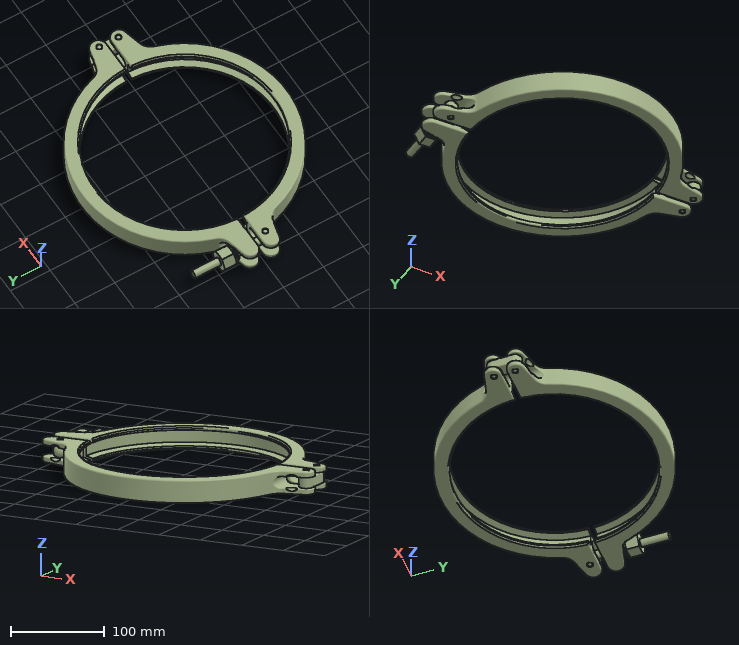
import cadquery as cq
import math

RING_RADIUS = 129.0
BORE_RADIUS = 112.0
THICKNESS = 25.5
HALF_GAP = 3.3
EDGE_RADIUS = 1.8

GROOVE_RADIUS = 120.3
GROOVE_MOUTH = 17.5
GROOVE_FLOOR = 13.0

EAR_RADIUS = 9.8
EAR_X = 163 - EAR_RADIUS
EAR_Y = HALF_GAP + EAR_RADIUS
EAR_SLOPE = math.radians(14)
NECK_RADIUS = 15.5

SLOT_HEIGHT = 12.7
SLOT_EDGE_RADIUS = 1.0
SLOT_END_X = 125.0

PIN_RADIUS = 3.3
PIN_DOME_HEIGHT = 1.3
HINGE_X = 153.0
HINGE_Y = 12.0
LINK_RADIUS = 7.8
LINK_EDGE_RADIUS = 1.5

BOLT_X = 142.8
BOLT_PIN_Y = 12.7
ROD_RADIUS = 5.0
ROD_END_Y = 78.0
BALL_RADIUS = 8.0
NUT_CORNER_RADIUS = 13.0
NUT_Y = 30.5
NUT_HEIGHT = 15.0
COLLAR_RADIUS = 11.0
COLLAR_HEIGHT = 2.5
NUT_TIP_RADIUS = 5.5
NUT_TIP_HEIGHT = 3.3
COLLAR_Y = NUT_Y - COLLAR_HEIGHT

SEAT_RADIUS = 9.0
SEAT_Y = 27.0
SEAT_LENGTH = 13.0


def cylinder_along_y(x, y_start, y_end, radius):
    axis_start = cq.Vector(x, y_start, 0)
    return cq.Workplane(cq.Solid.makeCylinder(radius, y_end - y_start, axis_start, cq.Vector(0, 1, 0)))


def cone_along_y(x, y_start, y_end, radius_start, radius_end):
    axis_start = cq.Vector(x, y_start, 0)
    height = y_end - y_start
    return cq.Workplane(cq.Solid.makeCone(radius_start, radius_end, height, axis_start, cq.Vector(0, 1, 0)))


def half_plate():
    """Half ring with an ear at each end, on the +Y side of the split."""
    normal = cq.Vector(math.sin(EAR_SLOPE), math.cos(EAR_SLOPE))
    along = cq.Vector(math.cos(EAR_SLOPE), -math.sin(EAR_SLOPE))
    ear = cq.Vector(EAR_X, EAR_Y)
    ear_tangent = ear + normal * EAR_RADIUS

    neck_offset = ear.dot(normal) + EAR_RADIUS + NECK_RADIUS
    neck_reach = math.sqrt((RING_RADIUS + NECK_RADIUS) ** 2 - neck_offset**2)
    neck = normal * neck_offset + along * neck_reach
    neck_start = neck - normal * NECK_RADIUS
    neck_end = neck * (RING_RADIUS / neck.Length)
    neck_middle = neck + ((neck_start + neck_end) * 0.5 - neck).normalized() * NECK_RADIUS

    bore_x = math.sqrt(BORE_RADIUS**2 - HALF_GAP**2)

    def right(point):
        return (point.x, point.y)

    def left(point):
        return (-point.x, point.y)

    tip = cq.Vector(EAR_X + EAR_RADIUS, EAR_Y)
    outline = (
        cq.Workplane()
        .workplane(offset=-THICKNESS / 2)
        .moveTo(bore_x, HALF_GAP)
        .lineTo(EAR_X, HALF_GAP)
        .threePointArc(right(tip), right(ear_tangent))
        .lineTo(*right(neck_start))
        .threePointArc(right(neck_middle), right(neck_end))
        .threePointArc((0, RING_RADIUS), left(neck_end))
        .threePointArc(left(neck_middle), left(neck_start))
        .lineTo(*left(ear_tangent))
        .threePointArc(left(tip), (-EAR_X, HALF_GAP))
        .lineTo(-bore_x, HALF_GAP)
        .threePointArc((0, BORE_RADIUS), (bore_x, HALF_GAP))
        .close()
    )
    return outline.extrude(THICKNESS).faces("|Z").edges().fillet(EDGE_RADIUS)


def groove():
    inner = BORE_RADIUS - 3.3
    slope = (GROOVE_MOUTH - GROOVE_FLOOR) / 2 / (GROOVE_RADIUS - BORE_RADIUS)
    inner_half_height = GROOVE_MOUTH / 2 + slope * (BORE_RADIUS - inner)
    return (
        cq.Workplane("XZ")
        .polyline([
            (inner, -inner_half_height),
            (GROOVE_RADIUS, -GROOVE_FLOOR / 2),
            (GROOVE_RADIUS, GROOVE_FLOOR / 2),
            (inner, inner_half_height),
        ])
        .close()
        .revolve(360, (0, 0), (0, 1))
    )


def ear_slot(side):
    """Slot along Y with a rounded inner end, open at the ear tip."""
    end_x = SLOT_END_X + SLOT_HEIGHT / 2
    length = 2 * EAR_X
    opening = cq.Workplane().box(length, RING_RADIUS, SLOT_HEIGHT).translate((end_x + length / 2, 0, 0))
    rounded_end = cylinder_along_y(end_x, -RING_RADIUS / 2, RING_RADIUS / 2, SLOT_HEIGHT / 2)
    slot = opening.union(rounded_end)
    return slot if side > 0 else slot.mirror("YZ")


def round_slot_edges(plate, side):
    """Round the edges where a slot breaks through the ear's sides."""
    reach = SLOT_HEIGHT / 2 + 0.03
    x_range = sorted((side * (SLOT_END_X - 1.0), side * (EAR_X + 2 * EAR_RADIUS)))
    near_slot = cq.selectors.BoxSelector((x_range[0], 0, -reach), (x_range[1], RING_RADIUS, reach))
    return plate.edges(near_slot).edges("not |Y").fillet(SLOT_EDGE_RADIUS)


def nut_seat(x):
    """Ball-nosed recess that runs outward along the bolt axis."""
    nose = cq.Workplane().sphere(SEAT_RADIUS).translate((x, SEAT_Y, 0))
    return nose.union(cylinder_along_y(x, SEAT_Y, SEAT_Y + SEAT_LENGTH, SEAT_RADIUS))


def pin_hole(x, y):
    return cq.Workplane().cylinder(THICKNESS, PIN_RADIUS).translate((x, y, 0))


def pin(x, y):
    """Pin with domed ends whose tips are flush with the ear faces."""
    dome_radius = (PIN_RADIUS**2 + PIN_DOME_HEIGHT**2) / (2 * PIN_DOME_HEIGHT)
    shoulder = THICKNESS / 2 - PIN_DOME_HEIGHT
    body = cq.Workplane().cylinder(2 * shoulder, PIN_RADIUS)
    for side in (1, -1):
        ball_z = side * (THICKNESS / 2 - dome_radius)
        cap = cq.Workplane().cylinder(PIN_DOME_HEIGHT, PIN_RADIUS)
        cap = cap.translate((0, 0, side * (shoulder + PIN_DOME_HEIGHT / 2)))
        body = body.union(cap.intersect(cq.Workplane().sphere(dome_radius).translate((0, 0, ball_z))))
    return body.translate((x, y, 0))


def clamp_half(side):
    """Clamp half on the +Y (side = 1) or -Y (side = -1) side of the split."""
    plate = half_plate()
    for ear_side in (1, -1):
        plate = plate.cut(ear_slot(ear_side))
        plate = round_slot_edges(plate, ear_side).cut(nut_seat(ear_side * BOLT_X))
    plate = plate.cut(groove()).cut(pin_hole(HINGE_X, HINGE_Y))
    return plate if side > 0 else plate.mirror("XZ")


def hinge_link():
    link = (
        cq.Workplane()
        .center(HINGE_X, 0)
        .slot2D(2 * (HINGE_Y + LINK_RADIUS), 2 * LINK_RADIUS, 90)
        .extrude(SLOT_HEIGHT / 2, both=True)
        .faces("|Z")
        .edges()
        .fillet(LINK_EDGE_RADIUS)
    )
    for pin_y in (HINGE_Y, -HINGE_Y):
        link = link.union(pin(HINGE_X, pin_y))
    return link


def swing_bolt():
    """Ball-headed bolt on its cross pin, with the nut run on."""
    slot_space = cq.Workplane().box(4 * BALL_RADIUS, 4 * BALL_RADIUS, SLOT_HEIGHT)
    head = cq.Workplane().sphere(BALL_RADIUS).intersect(slot_space).translate((-BOLT_X, -BOLT_PIN_Y, 0))
    rod = cylinder_along_y(-BOLT_X, -BOLT_PIN_Y, ROD_END_Y, ROD_RADIUS)
    hexagon = (
        cq.Workplane("XZ", origin=(-BOLT_X, NUT_Y, 0))
        .polygon(6, 2 * NUT_CORNER_RADIUS)
        .extrude(-NUT_HEIGHT)
    )
    collar = cylinder_along_y(-BOLT_X, COLLAR_Y, NUT_Y, COLLAR_RADIUS)
    tip_start = COLLAR_Y - NUT_TIP_HEIGHT
    tip = cone_along_y(-BOLT_X, tip_start, COLLAR_Y, NUT_TIP_RADIUS, NUT_TIP_RADIUS + NUT_TIP_HEIGHT)
    cross_pin = pin(-BOLT_X, -BOLT_PIN_Y)
    return head.union(rod).union(hexagon).union(collar).union(tip).union(cross_pin)


collar_room = cylinder_along_y(-BOLT_X, COLLAR_Y, NUT_Y + NUT_HEIGHT, COLLAR_RADIUS)

upper_half = clamp_half(1).cut(collar_room)
lower_half = clamp_half(-1).cut(pin_hole(-BOLT_X, -BOLT_PIN_Y)).union(hinge_link())
bolt = swing_bolt()

result = cq.Compound.makeCompound([upper_half.val(), lower_half.val(), bolt.val()])